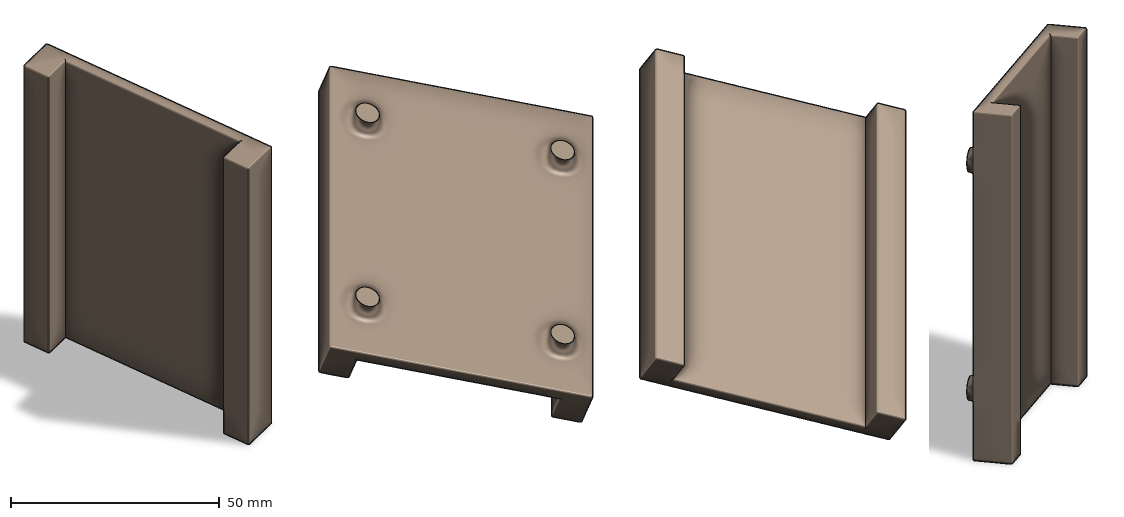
import cadquery as cq
import math

width = 65.8
height = 88.9
leg_depth = 10.0
web_thickness = 3.0
leg_width = 7.65
edge_radius = 0.5

foot_length = 3.0
foot_diameter = 6.0
flare_radius = 3.2
foot_spacing_x = 48.7
foot_spacing_z = 58.0


def channel():
    """Plate with a leg along each side, open toward -Y, back face at Y = 0."""
    block = cq.Workplane("XY").box(width, leg_depth, height).translate((0, -leg_depth / 2, 0))
    recess_width = width - 2 * leg_width
    recess_depth = leg_depth - web_thickness
    recess = (
        cq.Workplane("XY")
        .box(recess_width, recess_depth, height)
        .translate((0, -web_thickness - recess_depth / 2, 0))
    )
    return block.cut(recess)


def round_outer_edges(body):
    """Round every edge except the two inner corners between web and legs."""
    inner_x = width / 2 - leg_width
    inner_corners = cq.selectors.BoxSelector(
        (-inner_x - edge_radius, -web_thickness - edge_radius, -edge_radius),
        (inner_x + edge_radius, -web_thickness + edge_radius, edge_radius),
    )
    return body.edges(cq.selectors.InverseSelector(inner_corners)).fillet(edge_radius)


def foot():
    """Round foot along +Y; a concave arc tangent to the web narrows it toward the tip."""
    tip_radius = foot_diameter / 2
    tip_angle = math.acos((flare_radius - foot_length) / flare_radius)
    base_radius = tip_radius + flare_radius * math.sin(tip_angle)
    flare_middle = (
        base_radius - flare_radius * math.sin(tip_angle / 2),
        flare_radius * (1 - math.cos(tip_angle / 2)),
    )
    return (
        cq.Workplane("XY")
        .moveTo(0, -web_thickness / 2)
        .lineTo(base_radius, -web_thickness / 2)
        .lineTo(base_radius, 0)
        .threePointArc(flare_middle, (tip_radius, foot_length))
        .lineTo(0, foot_length)
        .close()
        .revolve(360, (0, 0, 0), (0, 1, 0))
    )


result = round_outer_edges(channel())
for x in (-foot_spacing_x / 2, foot_spacing_x / 2):
    for z in (-foot_spacing_z / 2, foot_spacing_z / 2):
        result = result.union(foot().translate((x, 0, z)))